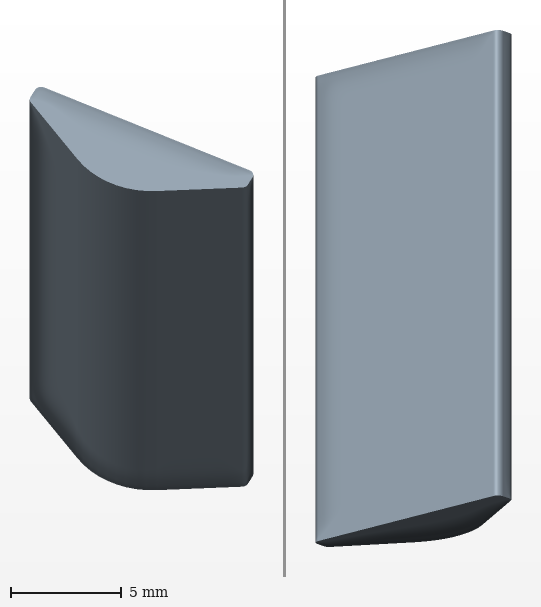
import cadquery as cq
import math

width = 11.0
thickness = 3.5
length = 22.0
crown_radius = 4.0
flank_angle = math.radians(30.0)
edge_radius = 0.3

half_width = width / 2
crown_y = -thickness
tangent_x = crown_radius * math.sin(flank_angle)
tangent_y = crown_y + crown_radius * (1 - math.cos(flank_angle))
side_y = tangent_y + (half_width - tangent_x) * math.tan(flank_angle)


def make_profile():
    """Flat back, short sides and sloped flanks tangent to the crown arc."""
    return (
        cq.Workplane("XY")
        .moveTo(-half_width, 0)
        .lineTo(-half_width, side_y)
        .lineTo(-tangent_x, tangent_y)
        .threePointArc((0, crown_y), (tangent_x, tangent_y))
        .lineTo(half_width, side_y)
        .lineTo(half_width, 0)
        .close()
    )


def round_side_edges(bar):
    """Round the two long edges of each short side face."""
    return bar.faces("<X or >X").edges("|Z").fillet(edge_radius)


result = round_side_edges(make_profile().extrude(length))